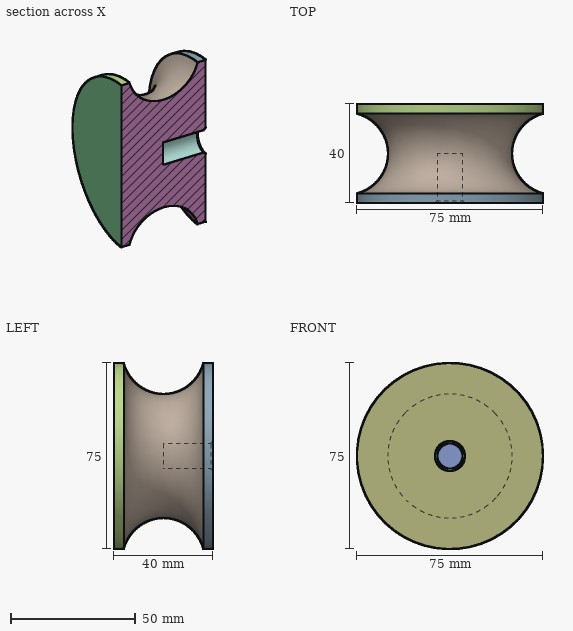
import cadquery as cq

rim_diameter = 75.0
width = 40.0
flange_thickness = 4.0
root_diameter = 50.0
bore_diameter = 10.1
bore_mouth_diameter = 12.1
bore_depth = 20.0

rim_radius = rim_diameter / 2
root_radius = root_diameter / 2
half_width = width / 2
groove_half_width = half_width - flange_thickness
bore_chamfer = (bore_mouth_diameter - bore_diameter) / 2


def make_wheel():
    """Revolve the half section: two flanges with a round groove between them."""
    return (
        cq.Workplane("XY")
        .moveTo(0, -half_width)
        .lineTo(rim_radius, -half_width)
        .lineTo(rim_radius, -groove_half_width)
        .threePointArc((root_radius, 0), (rim_radius, groove_half_width))
        .lineTo(rim_radius, half_width)
        .lineTo(0, half_width)
        .close()
        .revolve(360, (0, 0, 0), (0, 1, 0))
    )


def make_bore():
    """Blind bore from the -Y face, with a 45 degree chamfer at its mouth."""
    return (
        cq.Workplane("XY")
        .moveTo(0, -half_width)
        .lineTo(bore_mouth_diameter / 2, -half_width)
        .lineTo(bore_diameter / 2, -half_width + bore_chamfer)
        .lineTo(bore_diameter / 2, -half_width + bore_depth)
        .lineTo(0, -half_width + bore_depth)
        .close()
        .revolve(360, (0, 0, 0), (0, 1, 0))
    )


result = make_wheel().cut(make_bore())